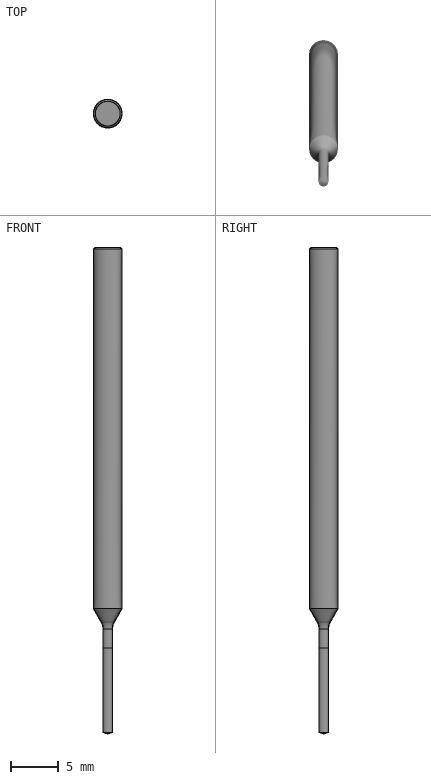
import cadquery as cq
import math

shank_diameter = 3.0
cutting_diameter = 1.0
overall_length = 51.0
flute_length = 9.0
neck_end_height = 11.0
flare_arc_radius = 1.5
taper_half_angle = 30.0
point_angle = 140.0
shank_chamfer = 0.2

shank_radius = shank_diameter / 2
cutting_radius = cutting_diameter / 2
point_height = cutting_radius / math.tan(math.radians(point_angle / 2))

taper_slope = math.radians(taper_half_angle)


def flare_point(turn):
    """Radius and height on the flare after turning by this angle away from the axis direction."""
    radius = cutting_radius + flare_arc_radius * (1 - math.cos(turn))
    height = neck_end_height + flare_arc_radius * math.sin(turn)
    return radius, height


def make_cutting_tip():
    """Cylindrical cutting length ending in a conical point at the origin."""
    profile = (
        cq.Workplane("XZ")
        .lineTo(cutting_radius, point_height)
        .lineTo(cutting_radius, flute_length)
        .lineTo(0, flute_length)
        .close()
    )
    return profile.revolve(360, (0, 0, 0), (0, 1, 0))


def make_neck():
    """Plain cylinder between the cutting tip and the shank."""
    return (
        cq.Workplane("XY")
        .workplane(offset=flute_length)
        .circle(cutting_radius)
        .extrude(neck_end_height - flute_length)
    )


def make_shank():
    """Shank with a rounded flare and a taper at the bottom and a chamfer at the top."""
    flare_middle = flare_point(taper_slope / 2)
    flare_end = flare_point(taper_slope)
    flare_end_radius, flare_end_height = flare_end
    taper_end_height = flare_end_height + (shank_radius - flare_end_radius) / math.tan(taper_slope)
    profile = (
        cq.Workplane("XZ")
        .moveTo(0, neck_end_height)
        .lineTo(cutting_radius, neck_end_height)
        .threePointArc(flare_middle, flare_end)
        .lineTo(shank_radius, taper_end_height)
        .lineTo(shank_radius, overall_length - shank_chamfer)
        .lineTo(shank_radius - shank_chamfer, overall_length)
        .lineTo(0, overall_length)
        .close()
    )
    return profile.revolve(360, (0, 0, 0), (0, 1, 0))


cutting_tip = make_cutting_tip()
neck = make_neck()
shank = make_shank()

result = cq.Compound.makeCompound([cutting_tip.val(), neck.val(), shank.val()])